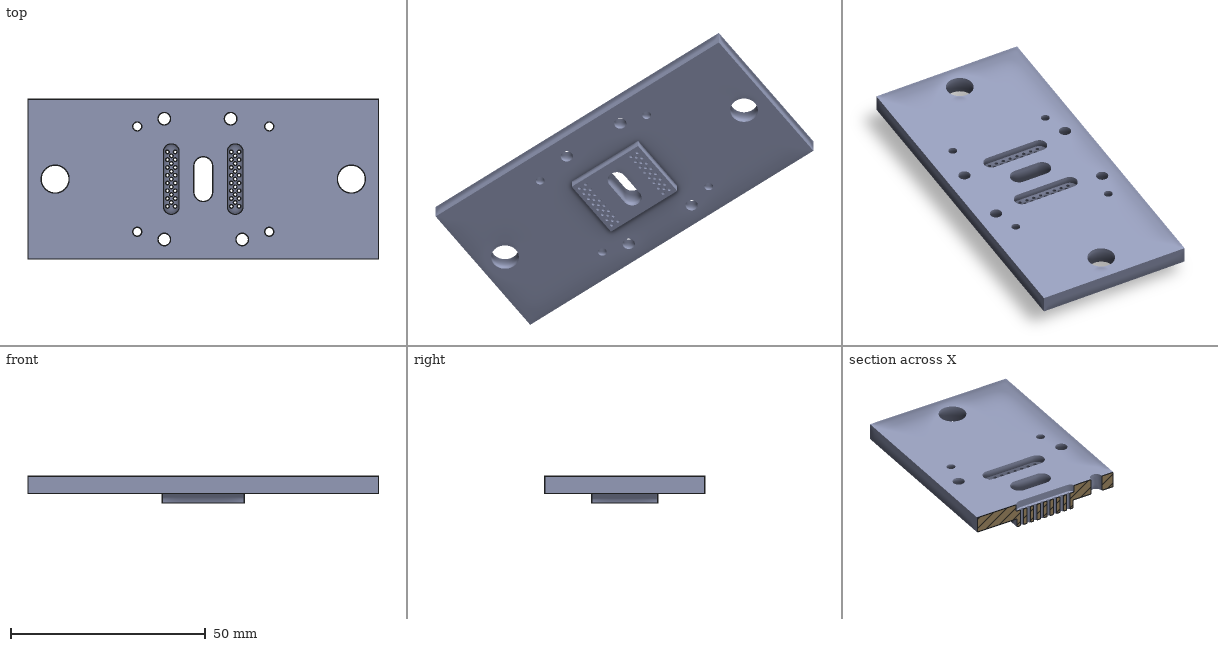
import cadquery as cq

plate_length = 90.0
plate_width = 41.0
plate_thickness = 4.5
total_height = 6.9
pad_length = 21.1
pad_width = 17.0
pad_height = total_height - plate_thickness

mount_diameter = 7.1
mount_x = 38.0
screw_diameter = 2.25
screw_x = 16.9
screw_y = 13.5
dowel_diameter = 3.15
dowel_x = 10.0
offset_dowel_x = 7.0
dowel_y = 15.5

slot_length = 11.4
slot_width = 4.8

pocket_x = 8.2
pocket_length = 18.1
pocket_width = 4.05
pocket_depth = 2.0
pin_diameter = 0.88
pin_column_spacing = 1.0
pin_outer_count = 8
pin_outer_span = 13.95
pin_pitch = pin_outer_span / (pin_outer_count - 1)


def make_body():
    plate = cq.Workplane("XY").box(
        plate_length, plate_width, plate_thickness, centered=(True, True, False)
    )
    pad = (
        cq.Workplane("XY")
        .workplane(offset=-pad_height)
        .rect(pad_length, pad_width)
        .extrude(pad_height)
    )
    return plate.union(pad)


def cut_holes(body, points, diameter):
    """Cut round holes straight through the whole part."""
    holes = (
        cq.Workplane("XY")
        .workplane(offset=plate_thickness)
        .pushPoints(points)
        .circle(diameter / 2)
        .extrude(-total_height)
    )
    return body.cut(holes)


def cut_slots(body, points, length, width, depth):
    """Cut round-ended slots, running along Y, down from the top face."""
    slots = (
        cq.Workplane("XY")
        .workplane(offset=plate_thickness)
        .pushPoints(points)
        .slot2D(length, width, 90)
        .extrude(-depth)
    )
    return body.cut(slots)


def pin_column(x, count):
    """Pin centres evenly spaced along Y and centred on Y = 0."""
    first_y = -pin_pitch * (count - 1) / 2
    return [(x, first_y + i * pin_pitch) for i in range(count)]


def pin_points(center_x):
    """Two outer columns, with a middle column shifted by half a pitch."""
    return (
        pin_column(center_x - pin_column_spacing, pin_outer_count)
        + pin_column(center_x, pin_outer_count - 1)
        + pin_column(center_x + pin_column_spacing, pin_outer_count)
    )


mount_points = [(-mount_x, 0), (mount_x, 0)]
screw_points = [(x, y) for x in (-screw_x, screw_x) for y in (-screw_y, screw_y)]
dowel_points = [
    (-dowel_x, dowel_y),
    (offset_dowel_x, dowel_y),
    (-dowel_x, -dowel_y),
    (dowel_x, -dowel_y),
]
pocket_centers = [(-pocket_x, 0), (pocket_x, 0)]

result = make_body()
result = cut_holes(result, mount_points, mount_diameter)
result = cut_holes(result, screw_points, screw_diameter)
result = cut_holes(result, dowel_points, dowel_diameter)
result = cut_slots(result, [(0, 0)], slot_length, slot_width, total_height)
result = cut_slots(result, pocket_centers, pocket_length, pocket_width, pocket_depth)
for center_x, _ in pocket_centers:
    result = cut_holes(result, pin_points(center_x), pin_diameter)